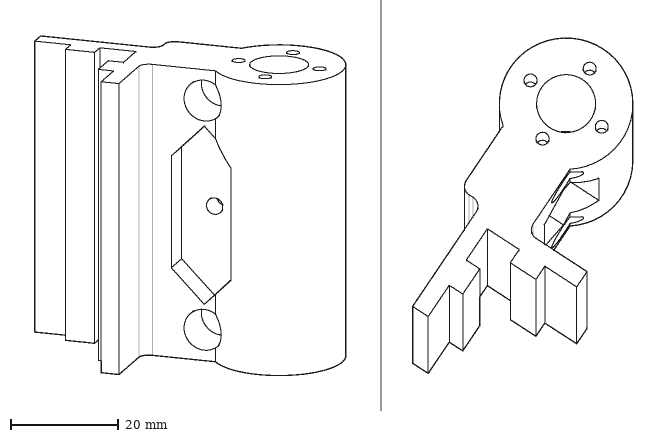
import cadquery as cq

height = 57.0
barrel_diameter = 25.0
bore_diameter = 11.0
body_width = 15.0

overall_length = 60.5
overall_depth = 33.4
arm_length = 20.0
arm_thickness = 3.5
rib_width = 5.75
rib_height = 3.0
corner_radius = 2.0

screw_diameter = 2.4
screw_circle_radius = 8.0
screw_depth = 8.0
screw_count = 4

pocket_x = -12.2
hex_width = 13.0
hex_straight = 21.9
hex_depth = 6.0
cross_hole_diameter = 3.2
side_hole_diameter = 8.0
side_hole_offset = 22.45
side_hole_depth = 10.0
back_pocket_diameter = 15.85
back_pocket_depth = 3.0

barrel_radius = barrel_diameter / 2
half_width = body_width / 2
left_end = barrel_radius - overall_length
front_end = barrel_radius - overall_depth
inner_x = left_end + arm_length
inner_y = front_end + arm_length
outer_x = inner_x + arm_thickness
outer_y = inner_y + arm_thickness


def box(x_min, x_max, y_min, y_max):
    """Full-height block between the given X and Y limits."""
    return cq.Workplane("XY").box(
        x_max - x_min, y_max - y_min, height, centered=(False, False, True)
    ).translate((x_min, y_min, 0))


def y_prism(sketch, y_start, length):
    """Extrude a sketch drawn in X and Z from y_start towards +Y."""
    return sketch.extrude(-length).translate((0, y_start, 0))


def y_cylinder(diameter, z, y_start, length):
    """Cylinder along Y on the centre plane of the pockets."""
    circle = cq.Workplane("XZ").center(pocket_x, z).circle(diameter / 2)
    return y_prism(circle, y_start, length)


def make_body():
    """Body and both arms, with rounded corners where they meet."""
    outline = [
        (left_end, inner_y),
        (inner_x, inner_y),
        (inner_x, front_end),
        (outer_x, front_end),
        (outer_x, -half_width),
        (0, -half_width),
        (0, half_width),
        (outer_x, half_width),
        (outer_x, outer_y),
        (left_end, outer_y),
    ]
    body = cq.Workplane("XY").polyline(outline).close().extrude(height / 2, both=True)
    for y in (-half_width, outer_y, half_width):
        corner = cq.selectors.NearestToPointSelector((outer_x, y, 0))
        body = body.edges("|Z").edges(corner).fillet(corner_radius)
    return body


def make_ribs():
    """One rib at the middle of each arm, inside the right angle."""
    rib_start = (arm_length - rib_width) / 2
    rib_x = left_end + rib_start
    rib_y = front_end + rib_start
    side_rib = box(rib_x, rib_x + rib_width, inner_y - rib_height, inner_y)
    front_rib = box(inner_x - rib_height, inner_x, rib_y, rib_y + rib_width)
    return side_rib.union(front_rib)


def make_hex_pocket():
    """Elongated hexagon with 45 degree points, open through the barrel side."""
    half_hex = hex_width / 2
    half_straight = hex_straight / 2
    tip = half_straight + half_hex
    points = [
        (pocket_x, tip),
        (pocket_x + half_hex, half_straight),
        (pocket_x + half_hex, -half_straight),
        (pocket_x, -tip),
        (pocket_x - half_hex, -half_straight),
        (pocket_x - half_hex, half_straight),
    ]
    hexagon = cq.Workplane("XZ").polyline(points).close()
    floor_y = hex_depth - half_width
    return y_prism(hexagon, -barrel_radius, floor_y + barrel_radius)


def make_screw_holes():
    return (
        cq.Workplane("XY")
        .workplane(offset=height / 2)
        .polarArray(screw_circle_radius, 0, 360, screw_count)
        .circle(screw_diameter / 2)
        .extrude(-screw_depth)
    )


barrel = cq.Workplane("XY").circle(barrel_radius).extrude(height / 2, both=True)
bore = cq.Workplane("XY").circle(bore_diameter / 2).extrude(height / 2, both=True)

result = make_body().union(make_ribs()).union(barrel)
result = result.cut(bore).cut(make_screw_holes()).cut(make_hex_pocket())

side_hole_floor = side_hole_depth - half_width
for z in (-side_hole_offset, side_hole_offset):
    side_hole = y_cylinder(side_hole_diameter, z, -barrel_radius, side_hole_floor + barrel_radius)
    result = result.cut(side_hole)

back_floor = half_width - back_pocket_depth
result = result.cut(y_cylinder(back_pocket_diameter, 0, back_floor, barrel_radius - back_floor))
result = result.cut(y_cylinder(cross_hole_diameter, 0, -barrel_radius, barrel_diameter))